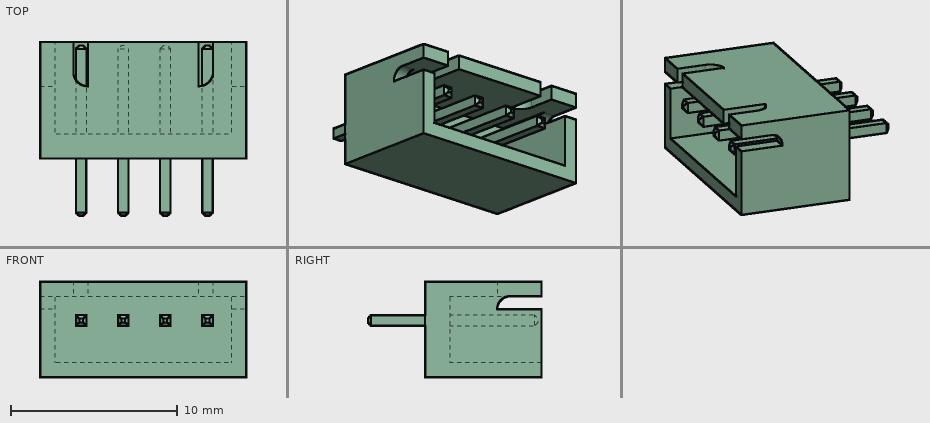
import cadquery as cq

body_width = 12.4
body_depth = 7.0
body_height = 5.75
wall = 0.89
floor_thickness = 1.49

slot_depth = 2.67
top_slot_width = 0.88
top_slot_inner_edge = 3.32
side_slot_width = 0.77
side_slot_drop = 0.89

pin_count = 4
pin_pitch = 2.53
pin_size = 0.65
pin_row_offset = 0.06
pin_drop = 2.34
pin_protrusion = 3.45
pin_recess = 0.22
tip_length = 0.2
tip_flat = 0.22

mouth_y = body_depth
body_top = body_height / 2


def make_housing():
    outer = cq.Workplane("XY").box(body_width, body_depth, body_height, centered=(True, False, True))
    cavity_depth = body_depth - floor_thickness
    cavity = (
        cq.Workplane("XY")
        .box(body_width - 2 * wall, cavity_depth, body_height - 2 * wall, centered=(True, False, True))
        .translate((0, floor_thickness, 0))
    )
    return outer.cut(cavity)


def quarter_round_slot(plane, straight_edge, rounded_edge):
    """Sketch a slot whose end is a quarter circle of radius equal to its width.

    The edge positions run along the plane's local X; local Y is the part's Y.
    """
    width = rounded_edge - straight_edge
    radius = abs(width)
    end_y = mouth_y - slot_depth
    middle = 0.5 ** 0.5
    arc_center_y = end_y + radius
    return (
        plane.moveTo(straight_edge, mouth_y)
        .lineTo(straight_edge, end_y)
        .threePointArc(
            (straight_edge + width * middle, arc_center_y - radius * middle),
            (rounded_edge, arc_center_y),
        )
        .lineTo(rounded_edge, mouth_y)
        .close()
    )


def make_top_slot(side):
    inner_edge = side * top_slot_inner_edge
    outer_edge = side * (top_slot_inner_edge + top_slot_width)
    plane = cq.Workplane("XY", origin=(0, 0, body_top))
    return quarter_round_slot(plane, inner_edge, outer_edge).extrude(-wall)


def make_side_slots():
    upper_edge = body_top - side_slot_drop
    lower_edge = upper_edge - side_slot_width
    side_plane = cq.Plane(origin=(0, 0, 0), xDir=(0, 0, 1), normal=(-1, 0, 0))
    plane = cq.Workplane(side_plane)
    return quarter_round_slot(plane, lower_edge, upper_edge).extrude(body_width / 2, both=True)


def make_tip(base_y, direction):
    base_plane = cq.Plane(origin=(0, base_y, 0), xDir=(1, 0, 0), normal=(0, direction, 0))
    return (
        cq.Workplane(base_plane)
        .rect(pin_size, pin_size)
        .workplane(offset=tip_length)
        .rect(tip_flat, tip_flat)
        .loft(ruled=True)
    )


def make_pin():
    shank_start = tip_length - pin_protrusion
    shank_end = mouth_y - pin_recess - tip_length
    shank = (
        cq.Workplane("XY")
        .box(pin_size, shank_end - shank_start, pin_size, centered=(True, False, True))
        .translate((0, shank_start, 0))
    )
    return shank.union(make_tip(shank_start, -1)).union(make_tip(shank_end, 1))


result = make_housing().cut(make_side_slots())
for side in (-1, 1):
    result = result.cut(make_top_slot(side))

pin = make_pin()
pin_z = body_top - pin_drop
for index in range(pin_count):
    pin_x = pin_row_offset + (index - (pin_count - 1) / 2) * pin_pitch
    result = result.union(pin.translate((pin_x, 0, pin_z)))